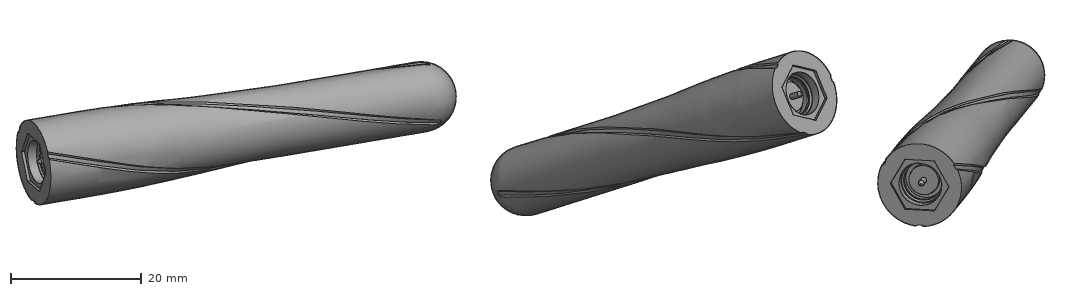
import cadquery as cq
import math

length = 70.4
base_diameter = 13.15
base_radius = base_diameter / 2
base_end = 8.1
cone_start = 21.95
cone_end = 28.8
stem_start = 41.5
cone_angle = math.radians(3.3)

arc_slope = math.tan(cone_angle / 2)
cone_start_radius = base_radius - (cone_start - base_end) * arc_slope
cone_end_radius = cone_start_radius - (cone_end - cone_start) * math.tan(cone_angle)
stem_radius = cone_end_radius - (stem_start - cone_end) * arc_slope
dome_start = length - stem_radius

groove_count = 3
groove_width = 1.3
groove_floor_width = 0.6
groove_depth = 0.2
groove_overcut = 0.2
groove_top = 66.3
groove_turn = 180.0
groove_base_angle = -60.0
groove_lead_in = 0.7
groove_point_count = 25

hex_across_flats = 7.95
hex_recess = 0.5
hex_end = 8.45
mouth_diameter = 6.7
mouth_end = 2.0
bore_diameter = 6.0
taper_end = 2.25
relief_diameter = 6.5
relief_start = 2.45
relief_end = 2.8
socket_end = 3.9
plug_diameter = 4.65
plug_face = 2.95
pin_diameter = 0.9
pin_start = 0.55
pin_tip_length = 0.55
pin_tip_flat = 0.15

full_turn = 360.0


def sleeve_radius(y):
    """Outer radius of the sleeve at y, with the stem radius kept past the dome's start."""
    if y <= base_end:
        return base_radius
    if y <= cone_start:
        arc_radius = (cone_start - base_end) / math.sin(cone_angle)
        return base_radius - arc_radius + math.sqrt(arc_radius**2 - (y - base_end) ** 2)
    if y <= cone_end:
        return cone_start_radius - (y - cone_start) * math.tan(cone_angle)
    if y <= stem_start:
        arc_radius = (stem_start - cone_end) / math.sin(cone_angle)
        return stem_radius + arc_radius - math.sqrt(arc_radius**2 - (stem_start - y) ** 2)
    return stem_radius


def hex_prism(start, end):
    """Hexagonal prism on the Y axis with corners on +X and -X."""
    across_corners = hex_across_flats / math.cos(math.pi / 6)
    return cq.Workplane("XZ", origin=(0, start, 0)).polygon(6, across_corners).extrude(start - end)


def groove_cutter():
    """Trapezoid swept along a helix that follows the sleeve surface."""
    start = -groove_lead_in
    points = []
    for i in range(groove_point_count):
        y = start + (groove_top - start) * i / (groove_point_count - 1)
        angle = math.radians(groove_base_angle + groove_turn * y / groove_top)
        radius = sleeve_radius(y)
        points.append(cq.Vector(radius * math.sin(angle), y, radius * math.cos(angle)))
    path = cq.Workplane("XY").newObject([cq.Wire.assembleEdges([cq.Edge.makeSpline(points)])])
    axis = cq.Workplane("XY").moveTo(0, start).lineTo(0, groove_top)

    outward = cq.Vector(points[0].x, 0, points[0].z)
    plane = cq.Plane(origin=points[0], xDir=outward, normal=(0, 1, 0))
    wall_spread = (groove_width - groove_floor_width) / 2 * groove_overcut / groove_depth
    half_floor = groove_floor_width / 2
    half_top = groove_width / 2 + wall_spread
    profile = cq.Workplane(plane).polyline([
        (-groove_depth, -half_floor),
        (-groove_depth, half_floor),
        (groove_overcut, half_top),
        (groove_overcut, -half_top),
    ]).close()
    return profile.sweep(path, auxSpine=axis)


def make_sleeve():
    """Round-tipped sleeve with helical grooves and a hexagonal pocket for the connector."""
    body = (
        cq.Workplane("XY")
        .lineTo(base_radius, 0)
        .lineTo(base_radius, base_end)
        .tangentArcPoint((cone_start_radius, cone_start), relative=False)
        .lineTo(cone_end_radius, cone_end)
        .tangentArcPoint((stem_radius, stem_start), relative=False)
        .lineTo(stem_radius, dome_start)
        .tangentArcPoint((0, length), relative=False)
        .close()
        .revolve(full_turn, (0, 0, 0), (0, 1, 0))
    )
    cutter = groove_cutter()
    for i in range(groove_count):
        body = body.cut(cutter.rotate((0, 0, 0), (0, 1, 0), i * full_turn / groove_count))
    return body.cut(hex_prism(0, hex_end))


def socket_cavity():
    """Stepped socket of the nut, with the plug left standing in its middle."""
    return (
        cq.Workplane("XY")
        .moveTo(0, hex_recess)
        .lineTo(mouth_diameter / 2, hex_recess)
        .lineTo(mouth_diameter / 2, mouth_end)
        .lineTo(relief_diameter / 2, mouth_end)
        .lineTo(bore_diameter / 2, taper_end)
        .lineTo(bore_diameter / 2, relief_start)
        .lineTo(relief_diameter / 2, relief_start)
        .lineTo(relief_diameter / 2, relief_end)
        .lineTo(bore_diameter / 2, relief_end)
        .lineTo(bore_diameter / 2, socket_end)
        .lineTo(plug_diameter / 2, socket_end)
        .lineTo(plug_diameter / 2, plug_face)
        .lineTo(0, plug_face)
        .close()
        .revolve(full_turn, (0, 0, 0), (0, 1, 0))
    )


def contact_pin():
    """Pin with a conical tip, standing on the plug face."""
    return (
        cq.Workplane("XY")
        .moveTo(0, pin_start)
        .lineTo(pin_tip_flat / 2, pin_start)
        .lineTo(pin_diameter / 2, pin_start + pin_tip_length)
        .lineTo(pin_diameter / 2, plug_face)
        .lineTo(0, plug_face)
        .close()
        .revolve(full_turn, (0, 0, 0), (0, 1, 0))
    )


def make_connector():
    """Nut, plug and pin as one body."""
    return hex_prism(hex_recess, hex_end).cut(socket_cavity()).union(contact_pin())


sleeve = make_sleeve()
connector = make_connector()
result = cq.Compound.makeCompound([sleeve.val(), connector.val()])